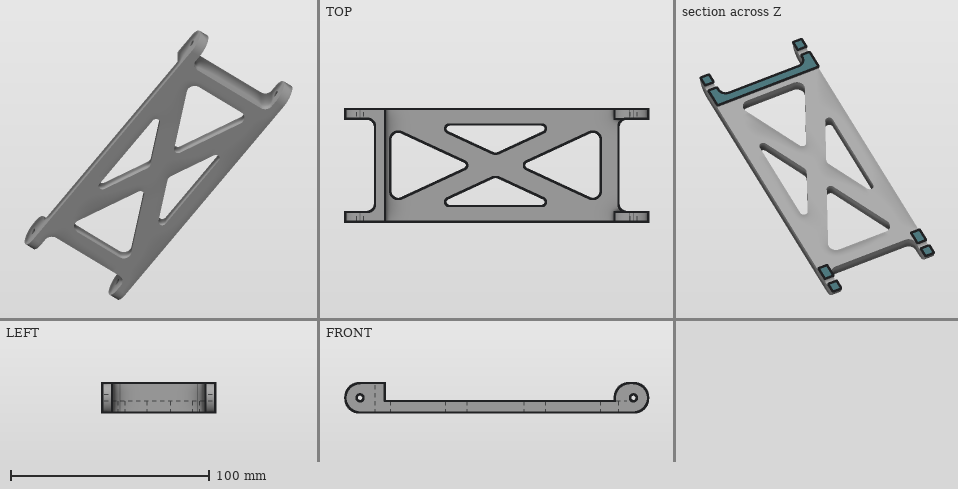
import cadquery as cq
import math

length = 153.0
width = 57.0
height = 15.0

plate_thickness = 6.0
end_radius = height / 2
lug_thickness = 5.0
hole_diameter = 3.4
end_block_length = 20.0
right_lug_length = 17.0
notch_depth = 15.0
notch_fillet = 4.0

truss_center_x = 75.9
brace_slope = 0.463
side_window_base = 53.1
side_window_apex = 11.6
side_window_fillet = 4.0
long_window_base = 20.5
long_window_apex = 5.5
tip_fillet = 2.0
long_window_apex_fillet = 4.0

hole_positions = [end_radius - length / 2, length / 2 - end_radius]


def make_side_profile():
    """Side outline of the plate, left end block and right lugs, extruded across the width."""
    left = -length / 2
    right = length / 2
    block_end = left + end_block_length
    lug_start = right - right_lug_length
    corner = end_radius * math.sqrt(0.5)
    lug_arc_x = lug_start + end_radius
    outline = (
        cq.Workplane("XZ")
        .moveTo(left + end_radius, 0)
        .lineTo(right - end_radius, 0)
        .threePointArc((right, end_radius), (right - end_radius, height))
        .lineTo(lug_arc_x, height)
        .threePointArc((lug_arc_x - corner, end_radius + corner), (lug_start, end_radius))
        .lineTo(lug_start, plate_thickness)
        .lineTo(block_end, plate_thickness)
        .lineTo(block_end, height)
        .lineTo(left + end_radius, height)
        .threePointArc((left, end_radius), (left + end_radius, 0))
        .close()
    )
    return outline.extrude(width / 2, both=True)


def make_end_notch(side):
    """Gap between the two lugs at one end, with rounded inner corners."""
    gap = width - 2 * lug_thickness
    return (
        cq.Workplane("XY")
        .center(side * length / 2, 0)
        .rect(2 * notch_depth, gap)
        .extrude(height)
        .edges("|Z")
        .fillet(notch_fillet)
    )


def make_right_lug_clearance():
    """Gap above the plate where the right lugs overlap it."""
    gap = width - 2 * lug_thickness
    return (
        cq.Workplane("XY", origin=(length / 2 - right_lug_length / 2, 0, plate_thickness))
        .rect(right_lug_length, gap)
        .extrude(height - plate_thickness)
    )


def make_side_window(side):
    """Triangular window whose tip points at the truss center along X."""
    half_base = (side_window_base - side_window_apex) * brace_slope
    base_x = truss_center_x - length / 2 + side * side_window_base
    apex_x = truss_center_x - length / 2 + side * side_window_apex
    window = (
        cq.Workplane("XY")
        .polyline([(base_x, -half_base), (base_x, half_base), (apex_x, 0)])
        .close()
        .extrude(height)
    )
    base_end, tip_end = ("<X", ">X") if side < 0 else (">X", "<X")
    window = window.edges("|Z").edges(base_end).fillet(side_window_fillet)
    return window.edges("|Z").edges(tip_end).fillet(tip_fillet)


def make_long_window(side):
    """Triangular window along a long edge, with its blunt point at the truss center."""
    half_base = (long_window_base - long_window_apex) / brace_slope
    center_x = truss_center_x - length / 2
    base_y = side * long_window_base
    window = (
        cq.Workplane("XY")
        .polyline([
            (center_x - half_base, base_y),
            (center_x + half_base, base_y),
            (center_x, side * long_window_apex),
        ])
        .close()
        .extrude(height)
    )
    base_end, apex_end = ("<Y", ">Y") if side < 0 else (">Y", "<Y")
    window = window.edges("|Z").edges(base_end).fillet(tip_fillet)
    return window.edges("|Z").edges(apex_end).fillet(long_window_apex_fillet)


def make_pin_holes():
    """Pin holes running across the width through both pairs of lugs."""
    return (
        cq.Workplane("XZ")
        .pushPoints([(x, end_radius) for x in hole_positions])
        .circle(hole_diameter / 2)
        .extrude(width / 2, both=True)
    )


result = make_side_profile().cut(make_right_lug_clearance()).cut(make_pin_holes())
for side in (-1, 1):
    result = result.cut(make_end_notch(side))
    result = result.cut(make_side_window(side))
    result = result.cut(make_long_window(side))